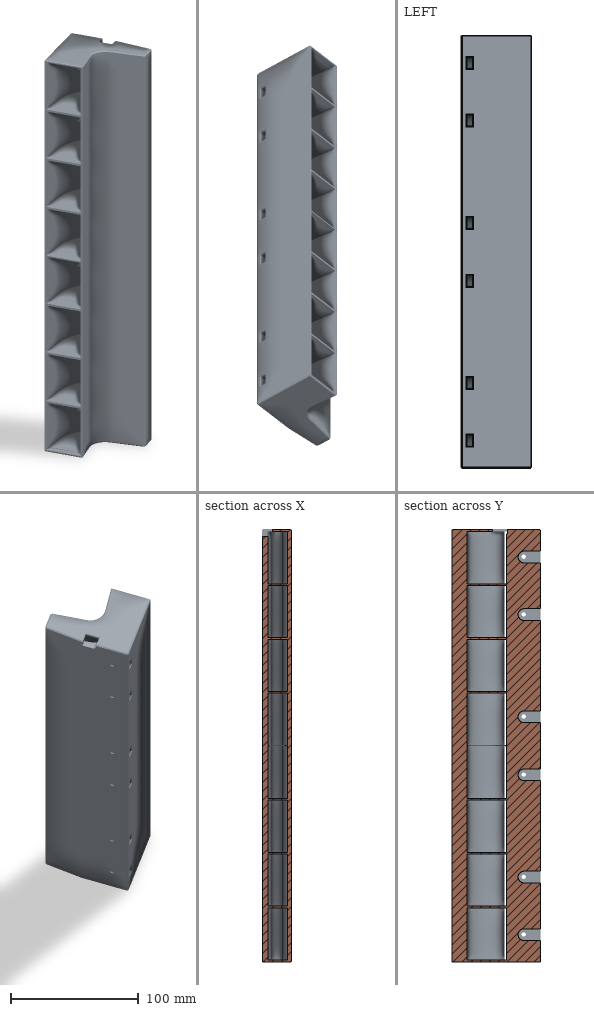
import cadquery as cq
import math

width = 70.0
depth = 55.0
height = 339.0

lean = 6.0
lean_slope = math.tan(math.radians(lean))
leg_front_width = 32.5
arm_bend_x = 38.5
arm_tip_y = 37.3
inner_corner_radius = 12.0
cavity_corner_radius = 10.2
edge_chamfer = 1.0
end_chamfer_z = 0.7

leg_direction = (-lean_slope, 1.0)
arm_under_direction = (1.0, lean_slope)

wall = 2.0
back_wall = 4.5
mouth_depth = 4.7
reflector_radius = 34.5
reflector_start_x = 3.7

cells_per_half = 4
divider = 1.7
end_wall = 2.0
mouth_end_wall = 1.7
middle_wall = 1.0
walls_total = 2 * end_wall + middle_wall + 2 * (cells_per_half - 1) * divider
cell_height = (height - walls_total) / (2 * cells_per_half)

slot_offsets = (22.7, 102.7, 147.8)
slot_height = 8.8
slot_thickness = 4.5
slot_back_wall = 4.5
slot_chamfer = 0.7
hole_x = 13.2
hole_diameter = 3.3

notch_left_x = 26.5
notch_right_x = 37.5
notch_depth_y = 7.8
notch_depth_z = 5.5
notch_chamfer = 2.0


def line_crossing(point_a, direction_a, point_b, direction_b):
    """Return the point where two lines cross."""
    gap_x = point_b[0] - point_a[0]
    gap_y = point_b[1] - point_a[1]
    cross = direction_a[0] * direction_b[1] - direction_a[1] * direction_b[0]
    along = (gap_x * direction_b[1] - gap_y * direction_b[0]) / cross
    return (point_a[0] + along * direction_a[0], point_a[1] + along * direction_a[1])


def vertical_edge_near(x, y, edge_height):
    """Select the upright edge closest to (x, y)."""
    return cq.selectors.NearestToPointSelector((x, y, edge_height / 2))


def make_body():
    """Solid bar with the leg and arm profile, its corners and end faces chamfered."""
    leg_corner = (leg_front_width, 0)
    tip_corner = (width, arm_tip_y)
    inner_corner = line_crossing(leg_corner, leg_direction, tip_corner, arm_under_direction)
    tip_back_y = depth - (width - arm_bend_x) * lean_slope
    outline = [
        (0, 0),
        leg_corner,
        inner_corner,
        tip_corner,
        (width, tip_back_y),
        (arm_bend_x, depth),
        (0, depth),
    ]
    body = cq.Workplane("XY").polyline(outline).close().extrude(height)
    body = body.edges(vertical_edge_near(*inner_corner, height)).fillet(inner_corner_radius)
    sharp_corners = [(0, depth), tip_corner, (width, tip_back_y)]
    for x, y in sharp_corners:
        body = body.edges(vertical_edge_near(x, y, height)).chamfer(edge_chamfer)
    body = body.faces(">Z").chamfer(end_chamfer_z, edge_chamfer)
    return body.faces("<Z").chamfer(end_chamfer_z, edge_chamfer)


def make_cell(cavity_height):
    """Cavity of one cell, reaching from the mouth at the front into the arm."""
    mouth_right_x = leg_front_width - wall
    mouth_corner = (mouth_right_x, mouth_depth)
    tip_x = width - wall
    tip_under = (tip_x, arm_tip_y + wall - wall * lean_slope)
    inner_corner = line_crossing(mouth_corner, leg_direction, tip_under, arm_under_direction)
    bend = (arm_bend_x, depth - back_wall)
    tip_back = (tip_x, bend[1] - (tip_x - arm_bend_x) * lean_slope)

    cos_lean = math.cos(math.radians(lean))
    sin_lean = math.sin(math.radians(lean))
    center_x = reflector_start_x + reflector_radius * cos_lean
    end_x = center_x + reflector_radius * sin_lean
    end_y = bend[1] - (end_x - arm_bend_x) * lean_slope
    center_y = end_y - reflector_radius * cos_lean
    start_angle = 180 - lean
    end_angle = 90 - lean
    middle_angle = math.radians((start_angle + end_angle) / 2)
    middle = (
        center_x + reflector_radius * math.cos(middle_angle),
        center_y + reflector_radius * math.sin(middle_angle),
    )
    start_y = center_y + reflector_radius * sin_lean
    mouth_left_x = reflector_start_x - start_y * lean_slope
    cell = (
        cq.Workplane("XY")
        .moveTo(mouth_left_x, 0)
        .lineTo(mouth_right_x, 0)
        .lineTo(*mouth_corner)
        .lineTo(*inner_corner)
        .lineTo(*tip_under)
        .lineTo(*tip_back)
        .lineTo(end_x, end_y)
        .threePointArc(middle, (reflector_start_x, start_y))
        .close()
        .extrude(cavity_height)
    )
    return cell.edges(vertical_edge_near(*inner_corner, cavity_height)).fillet(cavity_corner_radius)


def cell_floors():
    """Lower Z of every cell, the upper half mirroring the lower one."""
    lower = [end_wall + i * (cell_height + divider) for i in range(cells_per_half)]
    upper = [height - z - cell_height for z in lower]
    return lower + upper


def make_slot(z):
    """Round-ended slot with a chamfered entry, and the sight hole through its end."""
    end_radius = slot_height / 2
    back_y = depth - slot_back_wall
    slot = (
        cq.Workplane("XZ", origin=(0, back_y, z))
        .moveTo(0, -end_radius)
        .lineTo(hole_x, -end_radius)
        .threePointArc((hole_x + end_radius, 0), (hole_x, end_radius))
        .lineTo(0, end_radius)
        .close()
        .extrude(slot_thickness)
    )
    entry = (
        cq.Workplane("YZ", origin=(0, back_y - slot_thickness / 2, z))
        .rect(slot_thickness + 2 * slot_chamfer, slot_height + 2 * slot_chamfer)
        .workplane(offset=slot_chamfer)
        .rect(slot_thickness, slot_height)
        .loft()
    )
    hole = cq.Workplane("XZ", origin=(hole_x, depth, z)).circle(hole_diameter / 2).extrude(depth)
    return slot.union(entry).union(hole)


def make_notch():
    """Box notch with its lower left edge chamfered."""
    notch = cq.Workplane("XY").box(
        notch_right_x - notch_left_x, notch_depth_y, notch_depth_z, centered=False
    ).translate((notch_left_x, depth - notch_depth_y, height - notch_depth_z))
    return notch.faces("<Z").edges("<X").chamfer(notch_chamfer)


def make_end_mouth():
    """Mouth of an end cell, reaching further into the end wall than the cell behind it."""
    mouth_height = cell_height + end_wall - mouth_end_wall
    mouth_region = cq.Workplane("XY").box(width, mouth_depth, mouth_height, centered=False)
    return make_cell(mouth_height).intersect(mouth_region)


result = make_body()
for floor_z in cell_floors():
    result = result.cut(make_cell(cell_height).translate((0, 0, floor_z)))
end_mouth = make_end_mouth()
result = result.cut(end_mouth.translate((0, 0, mouth_end_wall)))
result = result.cut(end_mouth.translate((0, 0, height - end_wall - cell_height)))
for offset in slot_offsets:
    for side in (-1, 1):
        result = result.cut(make_slot(height / 2 + side * offset))
result = result.cut(make_notch())